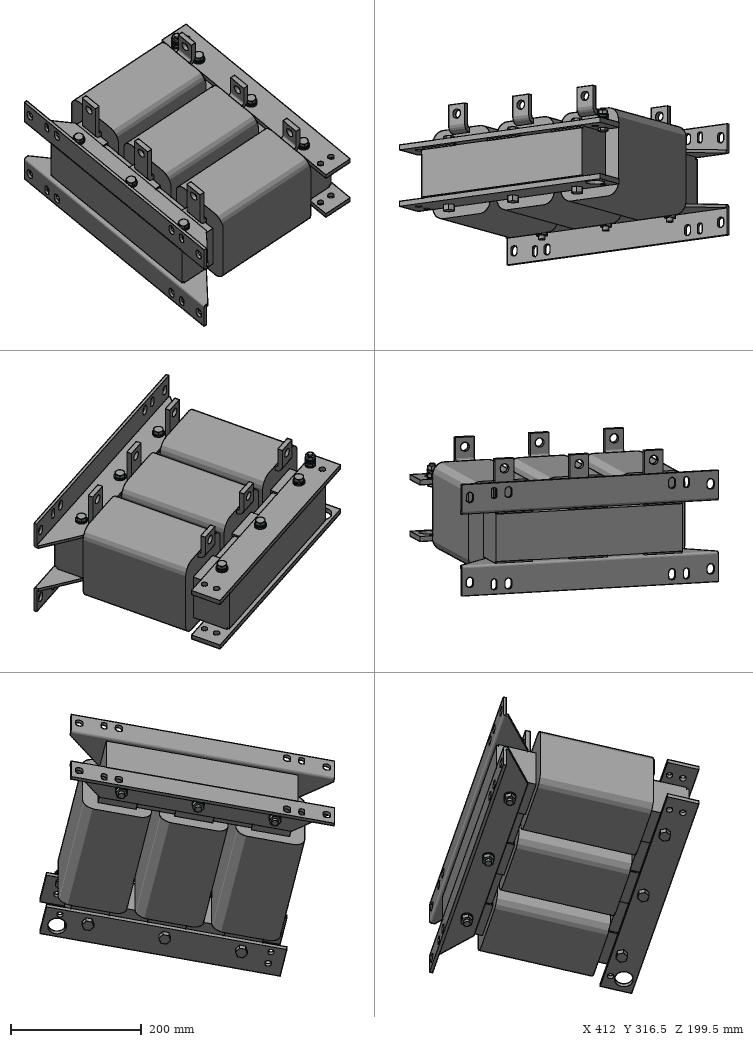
import cadquery as cq
import math


leg_pitch = 120.0
leg_width = 60.0
yoke_width = 60.0
core_length = 306.5
core_height = 74.0
core_width = 2 * leg_pitch + leg_width
core_end = core_length / 2
yoke_middle = core_end - yoke_width / 2
window_end = core_end - yoke_width
gap_sheet_thickness = 1.5
leg_positions = (-leg_pitch, 0.0, leg_pitch)

strip_height = 80.0
strip_length = 299.0
clamp_face = strip_height / 2

coil_width = 107.5
coil_length = 180.0
coil_top = 77.5
coil_bottom = -60.0
coil_radius = 19.5
coil_end = coil_length / 2

bar_width = 30.0
bar_thickness = 8.0
bar_inner_radius = 4.0
bar_outer_radius = bar_inner_radius + bar_thickness
bar_reach = 12.75
bar_top = 113.0
bar_hole_diameter = 14.0
bar_hole_drop = 15.0
front_bar_underside = 43.0
rear_bar_underside = 69.0

sheet_thickness = 5.0
bend_radius = 4.5
bracket_length = 412.0
bracket_depth = 55.0
bracket_top = 86.5
bracket_front = -core_end - sheet_thickness
bracket_back = bracket_front + bracket_depth
taper_setback = 8.0
taper_start = bracket_front + taper_setback
flange_slots = (
    (193.5, 66.0, 11.5, 16.0),
    (154.5, 71.0, 9.0, 17.0),
    (131.5, 71.0, 11.0, 17.0),
)

plate_length = 376.0
plate_width = 50.0
plate_thickness = 8.0
plate_overhang = 5.0
plate_rear = core_end + plate_overhang
plate_front = plate_rear - plate_width
plate_outer_face = clamp_face + plate_thickness
plate_hole_x = 165.0
mount_hole_inset = 19.0
mount_hole_y = plate_rear - mount_hole_inset
mount_hole_diameter = 10.0
bush_diameter = 28.5
earth_hole_inset = 9.7
earth_y = plate_front + earth_hole_inset
earth_hole_diameter = 9.5

bolt_diameter = 10.0
bolt_across_flats = 16.0
bolt_head_across_corners = 16.5
bolt_head_height = 6.0
bolt_nut_height = 8.0
rear_nut_height = 8.8
bolt_head_chamfer = 1.2
bolt_washer_diameter = 18.5
bolt_washer_thickness = 2.5
spring_washer_diameter = 16.5
bolt_tip_length = 6.0

stud_diameter = 8.0
stud_across_flats = 13.0
stud_nut_height = 6.0
stud_head_height = 4.5
stud_washer_diameter = 16.0
stud_washer_thickness = 1.6
stud_spring_diameter = 14.0
stud_spring_thickness = 2.7
stud_tip_length = 3.0

hex_corner_ratio = 1 / math.cos(math.pi / 6)


def block(x_size, y_range, z_range, x_center=0.0):
    y_min, y_max = y_range
    z_min, z_max = z_range
    return (
        cq.Workplane("XY")
        .box(x_size, y_max - y_min, z_max - z_min)
        .translate((x_center, (y_min + y_max) / 2, (z_min + z_max) / 2))
    )


def disc(x, y, z, diameter, height):
    return cq.Workplane("XY", origin=(x, y, z)).circle(diameter / 2).extrude(height)


def hexagon(x, y, z, across_corners, height, turn=0.0):
    """Hexagonal prism with corners along X, turned about its axis by the given degrees."""
    prism = cq.Workplane("XY").polygon(6, across_corners).extrude(height)
    return prism.rotate((0, 0, 0), (0, 0, 1), turn).translate((x, y, z))


def bolt_head(x, y, z):
    """Hexagon head with its upper corners turned down to a round crown."""
    crown = disc(x, y, z, bolt_head_across_corners, bolt_head_height).faces(">Z").chamfer(bolt_head_chamfer)
    return hexagon(x, y, z, bolt_head_across_corners, bolt_head_height, 90).intersect(crown)


def make_core():
    """Two yokes, three legs, the sheet along the front yoke and the strips over the legs."""
    half_height = core_height / 2
    z_range = (-half_height, half_height)
    core = block(core_width, (window_end, core_end), z_range)
    core = core.union(block(core_width, (-core_end, -window_end), z_range))
    sheet_range = (-window_end, -window_end + gap_sheet_thickness)
    core = core.union(block(core_width, sheet_range, z_range), clean=False)
    strip_end = strip_length / 2
    for x in leg_positions:
        leg = block(leg_width, (-window_end, window_end), z_range, x)
        upper_strip = block(leg_width, (-strip_end, strip_end), (half_height, clamp_face), x)
        for piece in (leg, upper_strip, upper_strip.mirror("XY")):
            core = core.union(piece, clean=False)
    return core


def make_coil(x):
    coil = block(coil_width, (-coil_end, coil_end), (coil_bottom, coil_top), x)
    return coil.edges("|Y").fillet(coil_radius)


def make_terminal_bar(x, underside, end):
    """Bar leaving the coil end level and bending upright; end is 1 at the rear, -1 at the front."""
    outer = coil_end + bar_reach
    inner = outer - bar_thickness
    bend_middle_y = outer - bar_outer_radius
    bend_middle_z = underside + bar_outer_radius
    diagonal = math.sqrt(0.5)
    root = coil_end - bar_thickness
    profile = (
        cq.Workplane("YZ")
        .moveTo(root, underside)
        .lineTo(bend_middle_y, underside)
        .threePointArc(
            (
                bend_middle_y + bar_outer_radius * diagonal,
                bend_middle_z - bar_outer_radius * diagonal,
            ),
            (outer, bend_middle_z),
        )
        .lineTo(outer, bar_top)
        .lineTo(inner, bar_top)
        .lineTo(inner, bend_middle_z)
        .threePointArc(
            (
                bend_middle_y + bar_inner_radius * diagonal,
                bend_middle_z - bar_inner_radius * diagonal,
            ),
            (bend_middle_y, underside + bar_thickness),
        )
        .lineTo(root, underside + bar_thickness)
        .close()
    )
    bar = profile.extrude(bar_width / 2, both=True)
    hole = (
        cq.Workplane("XZ", origin=(0, outer, bar_top - bar_hole_drop))
        .circle(bar_hole_diameter / 2)
        .extrude(bar_thickness)
    )
    bar = bar.cut(hole)
    if end < 0:
        bar = bar.mirror("XZ")
    return bar.translate((x, 0, 0))


def make_upper_bracket():
    """Angle with a tapered foot on the core and a slotted upright flange in front."""
    half = bracket_length / 2
    foot = (
        cq.Workplane("XY", origin=(0, 0, clamp_face))
        .moveTo(-half, bracket_front)
        .lineTo(half, bracket_front)
        .lineTo(half, taper_start)
        .lineTo(core_width / 2, bracket_back)
        .lineTo(-core_width / 2, bracket_back)
        .lineTo(-half, taper_start)
        .close()
        .extrude(sheet_thickness)
    )
    flange = block(
        bracket_length,
        (bracket_front, bracket_front + sheet_thickness),
        (clamp_face, bracket_top),
    )
    bracket = foot.union(flange)
    bend_edge = cq.selectors.NearestToPointSelector((0, bracket_front, clamp_face))
    bracket = bracket.edges(bend_edge).fillet(bend_radius)
    for distance, height, width, length in flange_slots:
        slots = (
            cq.Workplane("XZ", origin=(0, bracket_front, height))
            .pushPoints([(-distance, 0), (distance, 0)])
            .slot2D(length, width, 90)
            .extrude(-sheet_thickness)
        )
        bracket = bracket.cut(slots)
    return bracket


def make_upper_plate():
    """Rear plate: earth hole at each end, mounting hole on the -X side, bush bore on the +X side."""
    plate = block(plate_length, (plate_front, plate_rear), (clamp_face, plate_outer_face))
    for x in (-plate_hole_x, plate_hole_x):
        plate = plate.cut(disc(x, earth_y, clamp_face, earth_hole_diameter, plate_thickness))
    small_hole = disc(-plate_hole_x, mount_hole_y, clamp_face, mount_hole_diameter, plate_thickness)
    bore = disc(plate_hole_x, mount_hole_y, clamp_face, bush_diameter, plate_thickness)
    return plate.cut(small_hole).cut(bore)


def make_bush():
    bush = disc(plate_hole_x, mount_hole_y, clamp_face, bush_diameter, plate_thickness)
    return bush.cut(disc(plate_hole_x, mount_hole_y, clamp_face, mount_hole_diameter, plate_thickness))


def make_front_bolt(x):
    """Washer and head above the upper bracket; washer, nut and tip below the lower one."""
    y = -yoke_middle
    face = clamp_face + sheet_thickness
    washer_face = face + bolt_washer_thickness
    nut_face = washer_face + bolt_nut_height
    nut = hexagon(x, y, -nut_face, bolt_across_flats * hex_corner_ratio, bolt_nut_height)
    bolt = disc(x, y, face, bolt_washer_diameter, bolt_washer_thickness)
    bolt = bolt.union(bolt_head(x, y, washer_face))
    lower = disc(x, y, -washer_face, bolt_washer_diameter, bolt_washer_thickness)
    lower = lower.union(nut)
    lower = lower.union(disc(x, y, -nut_face - bolt_tip_length, bolt_diameter, bolt_tip_length))
    return bolt, lower


def make_rear_bolt(x):
    """Two washers and a head above the upper plate; a nut below the lower one."""
    y = yoke_middle
    washer_face = plate_outer_face + bolt_washer_thickness
    spring_face = washer_face + bolt_washer_thickness
    bolt = disc(x, y, plate_outer_face, bolt_washer_diameter, bolt_washer_thickness)
    bolt = bolt.union(disc(x, y, washer_face, spring_washer_diameter, bolt_washer_thickness))
    bolt = bolt.union(bolt_head(x, y, spring_face))
    lower = hexagon(
        x,
        y,
        -plate_outer_face - rear_nut_height,
        bolt_across_flats * hex_corner_ratio,
        rear_nut_height,
    )
    return bolt, lower


def make_earth_stud():
    """Bolt pushed up through the rear plate, carrying two nuts with washers between them."""
    x = -plate_hole_x
    corners = stud_across_flats * hex_corner_ratio
    stud = hexagon(x, earth_y, clamp_face - stud_head_height, corners, stud_head_height, 90)
    stud = stud.union(disc(x, earth_y, clamp_face, earth_hole_diameter, plate_thickness))
    z = plate_outer_face
    for shape, size, height in (
        (disc, stud_washer_diameter, stud_washer_thickness),
        (hexagon, corners, stud_nut_height),
        (disc, stud_washer_diameter, stud_washer_thickness),
        (disc, stud_spring_diameter, stud_spring_thickness),
        (disc, stud_washer_diameter, stud_washer_thickness),
        (hexagon, corners, stud_nut_height),
        (disc, stud_diameter, stud_tip_length),
    ):
        stud = stud.union(shape(x, earth_y, z, size, height))
        z += height
    return stud


upper_bracket = make_upper_bracket()
upper_plate = make_upper_plate()
lower_plate = upper_plate.rotate((0, 0, 0), (0, 1, 0), 180)

parts = [upper_bracket, upper_bracket.mirror("XY"), upper_plate, lower_plate]
parts.append(make_bush())
parts.append(make_earth_stud())
for leg_x in leg_positions:
    parts.append(make_coil(leg_x))
    parts.append(make_terminal_bar(leg_x, rear_bar_underside, 1))
    parts.append(make_terminal_bar(leg_x, front_bar_underside, -1))
    parts.extend(make_front_bolt(leg_x))
    parts.extend(make_rear_bolt(leg_x))

result = make_core()
for part in parts:
    result = result.union(part, clean=False)